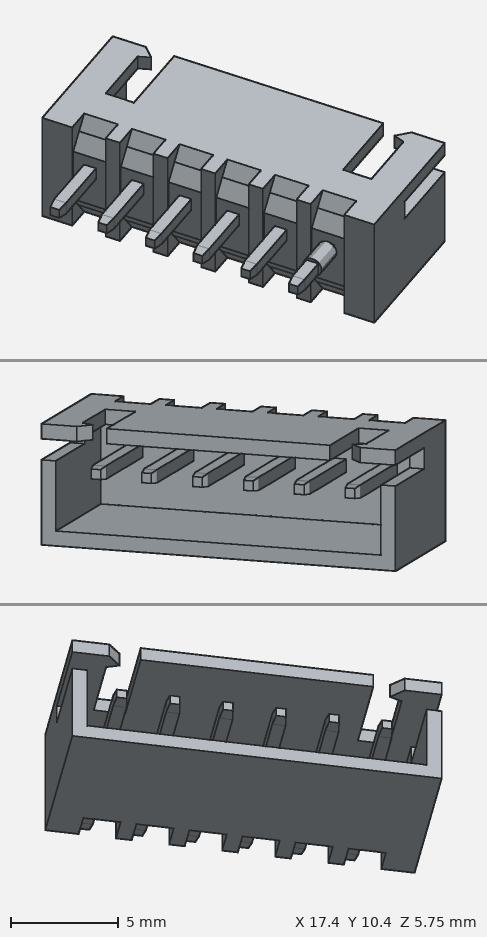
import cadquery as cq

LENGTH = 17.4
TOTAL_DEPTH = 10.4
HEIGHT = 5.75

HOUSING_DEPTH = 7.01
WALL = 0.71
BACK_WALL = WALL

PIN_COUNT = 6
PIN_ROW_LENGTH = 12.5
PIN_WIDTH = 0.63
PIN_TIP_WIDTH = 0.47
PIN_TIP_LENGTH = 0.54
PIN_SETBACK = 0.65
PIN_Z = 3.4
COLLAR_DIAMETER = 0.95
COLLAR_LENGTH = 1.5

GROOVE_WIDTH = 1.75
GROOVE_FLOOR = 0.1
GROOVE_END_DEPTH = 1.2
GROOVE_END_HEIGHT = 1.48

SLOT_DEPTH = 4.0
END_SLOT_HEIGHT = 1.0
ARM_WIDTH = 1.74
TOP_SLOT_WIDTH = 1.48

HOOK_REACH = 0.6
HOOK_PEAK = 0.6
HOOK_LENGTH = 0.82

MOUTH = HOUSING_DEPTH
SLOT_FLOOR = MOUTH - SLOT_DEPTH
PIN_PITCH = PIN_ROW_LENGTH / (PIN_COUNT - 1)
PIN_XS = [i * PIN_PITCH - PIN_ROW_LENGTH / 2 for i in range(PIN_COUNT)]


def box(x_range, y_range, z_range):
    """Box between the given limits on each axis."""
    lows, highs = zip(x_range, y_range, z_range)
    sizes = [high - low for low, high in zip(lows, highs)]
    return cq.Workplane("XY").box(*sizes, centered=False).translate(lows)


def make_shell():
    """Rectangular housing, hollow from the mouth down to the back wall."""
    half = LENGTH / 2
    outer = box((-half, half), (0, MOUTH), (0, HEIGHT))
    cavity = box((WALL - half, half - WALL), (BACK_WALL, MOUTH), (WALL, HEIGHT - WALL))
    return outer.cut(cavity)


def make_groove(x):
    """Groove over the full height whose ends slope into the top and bottom faces."""
    return (
        cq.Workplane("YZ", origin=(x, 0, 0))
        .polyline([
            (0, 0),
            (GROOVE_END_DEPTH, 0),
            (GROOVE_FLOOR, GROOVE_END_HEIGHT),
            (GROOVE_FLOOR, HEIGHT - GROOVE_END_HEIGHT),
            (GROOVE_END_DEPTH, HEIGHT),
            (0, HEIGHT),
        ])
        .close()
        .extrude(GROOVE_WIDTH / 2, both=True)
    )


def make_end_slot():
    """Slot through both end walls that frees the latch arms from below."""
    top = HEIGHT - WALL
    return box((-LENGTH / 2, LENGTH / 2), (SLOT_FLOOR, MOUTH), (top - END_SLOT_HEIGHT, top))


def make_top_slot():
    """Slot in the top wall at the -X end, with the hook left standing at its mouth."""
    outer = ARM_WIDTH - LENGTH / 2
    inner = outer + TOP_SLOT_WIDTH
    return (
        cq.Workplane("XY", origin=(0, 0, HEIGHT - WALL))
        .polyline([
            (outer, SLOT_FLOOR),
            (inner, SLOT_FLOOR),
            (inner, MOUTH),
            (outer, MOUTH),
            (outer + HOOK_REACH, MOUTH - HOOK_PEAK),
            (outer, MOUTH - HOOK_LENGTH),
        ])
        .close()
        .extrude(WALL)
    )


def make_pin(x):
    """Square pin along Y with both ends tapered."""
    rear = HOUSING_DEPTH - TOTAL_DEPTH
    front = MOUTH - PIN_SETBACK
    shank_rear = rear + PIN_TIP_LENGTH
    shank_front = front - PIN_TIP_LENGTH
    half = PIN_WIDTH / 2
    pin = box((x - half, x + half), (shank_rear, shank_front), (PIN_Z - half, PIN_Z + half))
    for start, end in ((shank_rear, rear), (shank_front, front)):
        tip = (
            cq.Workplane("XZ", origin=(x, start, PIN_Z))
            .rect(PIN_WIDTH, PIN_WIDTH)
            .workplane(offset=start - end)
            .rect(PIN_TIP_WIDTH, PIN_TIP_WIDTH)
            .loft(ruled=True)
        )
        pin = pin.union(tip)
    return pin


def make_collar(x):
    """Round collar around a pin, starting on the plane of the back face."""
    return (
        cq.Workplane("XZ", origin=(x, 0, PIN_Z))
        .circle(COLLAR_DIAMETER / 2)
        .extrude(COLLAR_LENGTH)
    )


housing = make_shell().cut(make_end_slot())
top_slot = make_top_slot()
housing = housing.cut(top_slot).cut(top_slot.mirror("YZ"))
for pin_x in PIN_XS:
    housing = housing.cut(make_groove(pin_x))

result = housing
for pin_x in PIN_XS:
    result = result.union(make_pin(pin_x))
result = result.union(make_collar(PIN_XS[-1]))